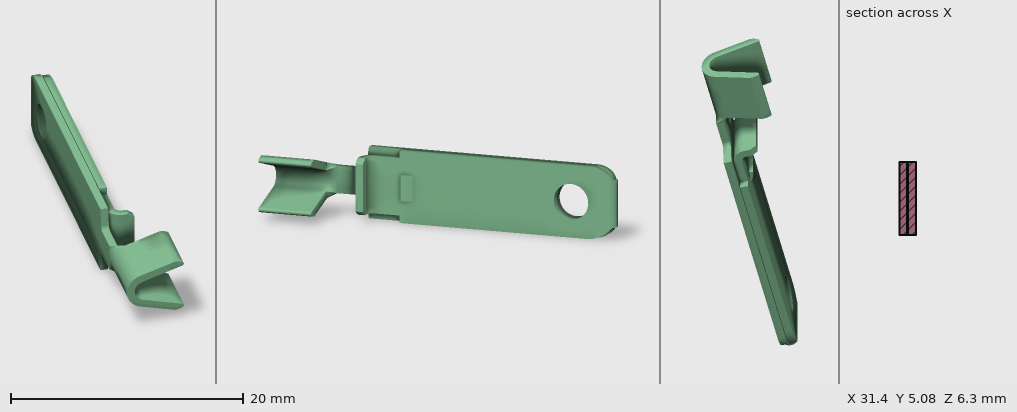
import cadquery as cq
import math

LENGTH = 31.35
SHEET = 0.7
LEAF_GAP = 0.05
STACK = 2 * SHEET + LEAF_GAP
MID_Y = STACK / 2
HALF_WIDTH = 3.15

FOLD_HALF_WIDTH = 2.07
CORNER_START_X = 0.28
FRONT_CORNER_END_X = 2.0
BACK_CORNER_END_X = 2.57
HOLE_X = 3.98
HOLE_DIAMETER = 3.15

SHOULDER_X = 22.8
NECK_START_X = 23.1
NECK_FILLET = 0.45
NECK_HALF_WIDTH = 1.2
NECK_END_X = 25.67

BACK_STEP_X = 19.75
TAB_HALF_WIDTH = 2.5
TAB_OUTER_X = 23.22
TAB_TOP_Y = 2.95
TAB_CHAMFER_HEIGHT = 0.55
TAB_CHAMFER_INSET = 0.4
TAB_BEND_RADIUS = 0.53

LATCH_START_X = 18.4
LATCH_END_X = 19.5
LATCH_HEIGHT = 0.4
LATCH_BULGE = 0.05
LATCH_HALF_WIDTH = 1.13

BARREL_START_X = 26.48
BARREL_RADIUS = 1.65
ARM_LEAN = math.radians(16.5)
ARM_HALF_SPREAD = 2.5
ARM_TOP_Y = 5.08
NOSE_START_Y = 4.98
NOSE_HALF_SPREAD = 2.32
NOSE_END_Y = 4.95
TAPER_BULGE = 0.047


def fold_corner_radius(corner_end_x):
    """Radius of the arc tangent to the long edge that ends at the fold."""
    run = corner_end_x - CORNER_START_X
    drop = HALF_WIDTH - FOLD_HALF_WIDTH
    return (run**2 + drop**2) / (2 * drop)


def arc_middle(center, radius, start, end):
    """Middle point of the arc around center between two points on it."""
    dx = (start[0] + end[0]) / 2 - center[0]
    dy = (start[1] + end[1]) / 2 - center[1]
    scale = radius / math.hypot(dx, dy)
    return (center[0] + dx * scale, center[1] + dy * scale)


def mirrored(points):
    """Points reflected to the opposite side of Z = 0, in reverse order."""
    return [(x, -z) for x, z in reversed(points)]


def leaf_blank(corner_end_x, end_points, y_low, y_high):
    """Leaf outline in XZ, symmetric about Z = 0, filled between two Y levels."""
    radius = fold_corner_radius(corner_end_x)
    start = (CORNER_START_X, FOLD_HALF_WIDTH)
    end = (corner_end_x, HALF_WIDTH)
    middle = arc_middle((corner_end_x, HALF_WIDTH - radius), radius, start, end)
    outline = (
        cq.Workplane("XZ", origin=(0, y_low, 0))
        .moveTo(0, -FOLD_HALF_WIDTH)
        .lineTo(0, FOLD_HALF_WIDTH)
        .lineTo(*start)
        .threePointArc(middle, end)
    )
    for point in end_points + mirrored(end_points):
        outline = outline.lineTo(*point)
    outline = (
        outline.lineTo(end[0], -end[1])
        .threePointArc((middle[0], -middle[1]), (start[0], -start[1]))
        .close()
    )
    return outline.extrude(-(y_high - y_low))


def folded_strip():
    """Full-width strip: both leaves joined by the round fold, and the upturned tab."""
    bend_outer = TAB_BEND_RADIUS + SHEET
    bend_x = TAB_OUTER_X - bend_outer
    bend_y = STACK + TAB_BEND_RADIUS
    back_inner_y = SHEET + LEAF_GAP
    tab_inner_x = TAB_OUTER_X - SHEET
    diagonal = math.sqrt(0.5)
    return (
        cq.Workplane("XY", origin=(0, 0, -HALF_WIDTH))
        .moveTo(MID_Y, 0)
        .lineTo(NECK_END_X, 0)
        .lineTo(NECK_END_X, SHEET)
        .lineTo(MID_Y, SHEET)
        .threePointArc((MID_Y - LEAF_GAP / 2, MID_Y), (MID_Y, back_inner_y))
        .lineTo(bend_x, back_inner_y)
        .threePointArc(
            (bend_x + bend_outer * diagonal, bend_y - bend_outer * diagonal),
            (TAB_OUTER_X, bend_y),
        )
        .lineTo(TAB_OUTER_X, TAB_TOP_Y)
        .lineTo(tab_inner_x, TAB_TOP_Y)
        .lineTo(tab_inner_x, bend_y)
        .threePointArc(
            (bend_x + TAB_BEND_RADIUS * diagonal, bend_y - TAB_BEND_RADIUS * diagonal),
            (bend_x, STACK),
        )
        .lineTo(MID_Y, STACK)
        .threePointArc((0, MID_Y), (MID_Y, 0))
        .close()
        .extrude(2 * HALF_WIDTH)
    )


def tab_envelope():
    """YZ outline that chamfers the corners of the upturned tab."""
    side = [
        (0, HALF_WIDTH),
        (STACK, HALF_WIDTH),
        (STACK, TAB_HALF_WIDTH),
        (TAB_TOP_Y - TAB_CHAMFER_HEIGHT, TAB_HALF_WIDTH),
        (TAB_TOP_Y, TAB_HALF_WIDTH - TAB_CHAMFER_INSET),
    ]
    return cq.Workplane("YZ").polyline(side + mirrored(side)).close().extrude(LENGTH)


def leaves():
    """Both leaves trimmed to their outlines, with the neck and the through hole."""
    front_end = [
        (SHOULDER_X, HALF_WIDTH),
        (NECK_START_X, NECK_HALF_WIDTH),
        (NECK_END_X, NECK_HALF_WIDTH),
    ]
    back_end = [
        (BACK_STEP_X, HALF_WIDTH),
        (BACK_STEP_X, TAB_HALF_WIDTH),
        (TAB_OUTER_X, TAB_HALF_WIDTH),
    ]
    front = leaf_blank(FRONT_CORNER_END_X, front_end, 0, MID_Y)
    for side in (1, -1):
        neck_corner = (NECK_START_X, MID_Y / 2, side * NECK_HALF_WIDTH)
        front = front.edges(cq.NearestToPointSelector(neck_corner)).fillet(NECK_FILLET)
    back = leaf_blank(BACK_CORNER_END_X, back_end, MID_Y, TAB_TOP_Y)
    hole = (
        cq.Workplane("XZ")
        .center(HOLE_X, 0)
        .circle(HOLE_DIAMETER / 2)
        .extrude(-STACK)
    )
    strip = folded_strip().intersect(front.union(back))
    return strip.intersect(tab_envelope()).cut(hole)


def latch():
    """Convex ramp that rises towards +X and ends in an upright step."""
    foot = (LATCH_START_X, STACK)
    crest = (LATCH_END_X, STACK + LATCH_HEIGHT)
    ramp_middle = ((foot[0] + crest[0]) / 2, (foot[1] + crest[1]) / 2 + LATCH_BULGE)
    root_y = STACK - SHEET / 2
    return (
        cq.Workplane("XY", origin=(0, 0, -LATCH_HALF_WIDTH))
        .moveTo(*foot)
        .threePointArc(ramp_middle, crest)
        .lineTo(LATCH_END_X, root_y)
        .lineTo(LATCH_START_X, root_y)
        .close()
        .extrude(2 * LATCH_HALF_WIDTH)
    )


def floor_point(radius):
    """YZ point where a floor arc of the given radius runs into the +Z arm."""
    return (BARREL_RADIUS - radius * math.sin(ARM_LEAN), radius * math.cos(ARM_LEAN))


def along_arm(point, y):
    """YZ point at height y on the arm face that starts at the given point."""
    return (y, point[1] + (y - point[0]) * math.tan(ARM_LEAN))


def flip(point):
    """The same point on the -Z side."""
    return (point[0], -point[1])


OUTER_FOOT = floor_point(BARREL_RADIUS)
INNER_FOOT = floor_point(BARREL_RADIUS - SHEET)


def barrel():
    """U-shaped crimp section with a round floor and two outward-leaning arms."""
    kink_y = OUTER_FOOT[0] + (ARM_HALF_SPREAD - OUTER_FOOT[1]) / math.tan(ARM_LEAN)
    kink = (kink_y, ARM_HALF_SPREAD)
    nose_start = (NOSE_START_Y, NOSE_HALF_SPREAD)
    taper = ((kink[0] + nose_start[0]) / 2, (kink[1] + nose_start[1]) / 2 + TAPER_BULGE)
    inner_tip = along_arm(INNER_FOOT, NOSE_END_Y)
    nose = (ARM_TOP_Y, (nose_start[1] + inner_tip[1]) / 2)
    return (
        cq.Workplane("YZ", origin=(BARREL_START_X, 0, 0))
        .moveTo(*flip(OUTER_FOOT))
        .threePointArc((0, 0), OUTER_FOOT)
        .lineTo(*kink)
        .threePointArc(taper, nose_start)
        .threePointArc(nose, inner_tip)
        .lineTo(*INNER_FOOT)
        .threePointArc((SHEET, 0), flip(INNER_FOOT))
        .lineTo(*flip(inner_tip))
        .threePointArc(flip(nose), flip(nose_start))
        .threePointArc(flip(taper), flip(kink))
        .close()
        .extrude(LENGTH - BARREL_START_X)
    )


def transition():
    """Ruled blend from the flat neck to the round floor of the barrel."""
    return (
        cq.Workplane("YZ", origin=(NECK_END_X, 0, 0))
        .moveTo(0, -NECK_HALF_WIDTH)
        .lineTo(0, NECK_HALF_WIDTH)
        .lineTo(SHEET, NECK_HALF_WIDTH)
        .lineTo(SHEET, -NECK_HALF_WIDTH)
        .close()
        .workplane(offset=BARREL_START_X - NECK_END_X)
        .moveTo(*flip(OUTER_FOOT))
        .threePointArc((0, 0), OUTER_FOOT)
        .lineTo(*INNER_FOOT)
        .threePointArc((SHEET, 0), flip(INNER_FOOT))
        .close()
        .loft(ruled=True, combine=True)
    )


result = leaves().union(latch()).union(transition()).union(barrel())